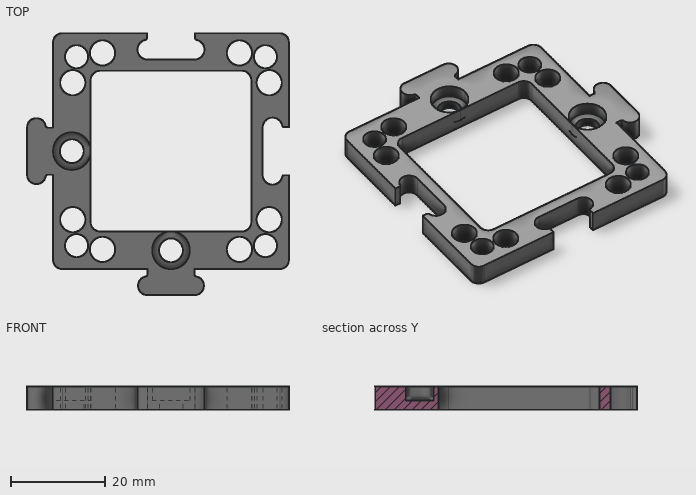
import cadquery as cq

thickness = 5.0
frame_side = 50.0
wall_width = 8.0
corner_radius = 2.0
half_side = frame_side / 2
window_side = frame_side - 2 * wall_width

neck_width = 10.0
tab_length = 5.5
lobe_radius = 2.0
neck_fillet_radius = 0.5
socket_clearance = 0.075

screw_diameter = 5.0
counterbore_diameter = 8.0
counterbore_depth = 3.0
screw_offset = half_side - wall_width / 2

corner_hole_diameter = 4.85
corner_hole_inset = 5.0
side_hole_diameter = 5.3
side_hole_near_inset = 4.2
side_hole_far_inset = 10.5


def rounded_square(side):
    """Square block with rounded vertical edges, standing on Z = 0."""
    block = cq.Workplane("XY").rect(side, side).extrude(thickness)
    return block.edges("|Z").fillet(corner_radius)


def connector(edge_y):
    """T-shaped block running from edge_y toward -Y, with a round lobe at each end of its head."""
    half_neck = neck_width / 2
    end_y = edge_y - tab_length
    lobe_y = end_y + lobe_radius
    lobe_top_y = lobe_y + lobe_radius
    lobe_x = half_neck + lobe_radius
    block = (
        cq.Workplane("XY")
        .moveTo(-half_neck, edge_y)
        .lineTo(-half_neck, lobe_top_y)
        .threePointArc((-lobe_x, lobe_y), (-half_neck, end_y))
        .lineTo(half_neck, end_y)
        .threePointArc((lobe_x, lobe_y), (half_neck, lobe_top_y))
        .lineTo(half_neck, edge_y)
        .close()
        .extrude(thickness)
    )
    for neck_x in (-half_neck, half_neck):
        neck_corner = cq.selectors.NearestToPointSelector((neck_x, lobe_top_y, thickness / 2))
        block = block.edges(neck_corner).fillet(neck_fillet_radius)
    return block


def turned(body, angle):
    """Body rotated about the Z axis through the frame centre."""
    return body.rotate((0, 0, 0), (0, 0, 1), angle)


def add_tabs(frame):
    """Tabs on the -Y and -X sides."""
    tab = connector(-half_side)
    for angle in (0, -90):
        frame = frame.union(turned(tab, angle))
    return frame


def cut_sockets(frame):
    """Sockets in the +Y and +X sides, which receive the tabs of neighbouring frames."""
    tab_outline = connector(half_side).faces("<Z").wires().val()
    socket_outline = tab_outline.offset2D(socket_clearance)[0]
    socket = cq.Workplane("XY").add(socket_outline).toPending().extrude(thickness)
    for angle in (0, -90):
        frame = frame.cut(turned(socket, angle))
    return frame


def cut_screw_holes(frame):
    """Counterbored through holes beside the two tabs."""
    return (
        frame.faces(">Z")
        .workplane(origin=(0, 0, thickness))
        .pushPoints([(0, -screw_offset), (-screw_offset, 0)])
        .cboreHole(screw_diameter, counterbore_diameter, counterbore_depth)
    )


def cut_corner_holes(frame):
    """One hole on each corner diagonal and one on either side of it."""
    diagonal = half_side - corner_hole_inset
    near = half_side - side_hole_near_inset
    far = half_side - side_hole_far_inset
    diagonal_points = []
    side_points = []
    for sx in (-1, 1):
        for sy in (-1, 1):
            diagonal_points.append((sx * diagonal, sy * diagonal))
            side_points.append((sx * near, sy * far))
            side_points.append((sx * far, sy * near))
    corner_holes = cq.Workplane("XY").pushPoints(diagonal_points).circle(corner_hole_diameter / 2)
    side_holes = cq.Workplane("XY").pushPoints(side_points).circle(side_hole_diameter / 2)
    return frame.cut(corner_holes.extrude(thickness)).cut(side_holes.extrude(thickness))


result = rounded_square(frame_side).cut(rounded_square(window_side))
result = add_tabs(result)
result = cut_sockets(result)
result = cut_screw_holes(result)
result = cut_corner_holes(result)